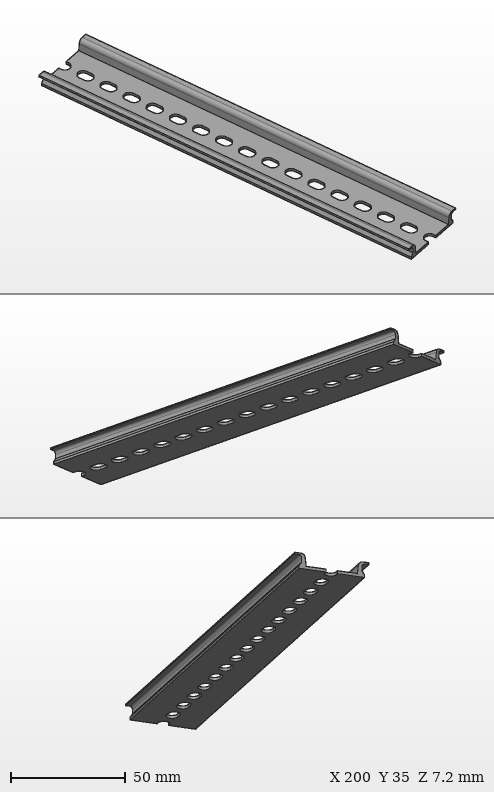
import cadquery as cq

length = 200.0
overall_width = 35.0
height = 7.2
base_width = 30.8
channel_width = 24.8
base_thickness = 1.5
flange_thickness = 0.8
wall_thickness = 1.8
wall_draft = 0.5
flange_tip_draft = 0.2
edge_height = 1.2
foot_slope_height = 1.8
top_corner_radius = 2.2
flange_fillet_radius = 1.5

slot_length = 8.0
slot_width = 5.5
slot_pitch_count = 16

flange_tip_y = overall_width / 2
base_edge_y = base_width / 2
wall_inner_y = channel_width / 2
wall_outer_y = wall_inner_y + wall_thickness
flange_underside_z = height - flange_thickness
quarter_arc = 2 ** -0.5


def rail_half():
    """Half of the rail on the +Y side, extruded along X over its full length."""
    fillet_center_y = wall_outer_y + flange_fillet_radius
    fillet_center_z = flange_underside_z - flange_fillet_radius
    fillet_mid = flange_fillet_radius * quarter_arc
    corner_center_y = wall_inner_y + top_corner_radius
    corner_center_z = height - top_corner_radius
    corner_mid = top_corner_radius * quarter_arc
    return (
        cq.Workplane("YZ", origin=(-length / 2, 0, 0))
        .moveTo(0, 0)
        .lineTo(base_edge_y, 0)
        .lineTo(base_edge_y, edge_height)
        .lineTo(wall_outer_y, edge_height + foot_slope_height)
        .lineTo(wall_outer_y, fillet_center_z)
        .threePointArc(
            (fillet_center_y - fillet_mid, fillet_center_z + fillet_mid),
            (fillet_center_y, flange_underside_z),
        )
        .lineTo(flange_tip_y, flange_underside_z)
        .lineTo(flange_tip_y - flange_tip_draft, height)
        .lineTo(corner_center_y, height)
        .threePointArc(
            (corner_center_y - corner_mid, corner_center_z + corner_mid),
            (wall_inner_y, corner_center_z),
        )
        .lineTo(wall_inner_y - wall_draft, base_thickness)
        .lineTo(0, base_thickness)
        .close()
        .extrude(length)
    )


def slot_row():
    """Evenly spaced slots; the first and last are cut in half by the rail ends."""
    pitch = length / slot_pitch_count
    centers = [(-length / 2 + i * pitch, 0) for i in range(slot_pitch_count + 1)]
    return (
        cq.Workplane("XY")
        .pushPoints(centers)
        .slot2D(slot_length, slot_width)
        .extrude(base_thickness)
    )


half = rail_half()
rail = half.union(half.mirror("XZ")).clean()
result = rail.cut(slot_row())